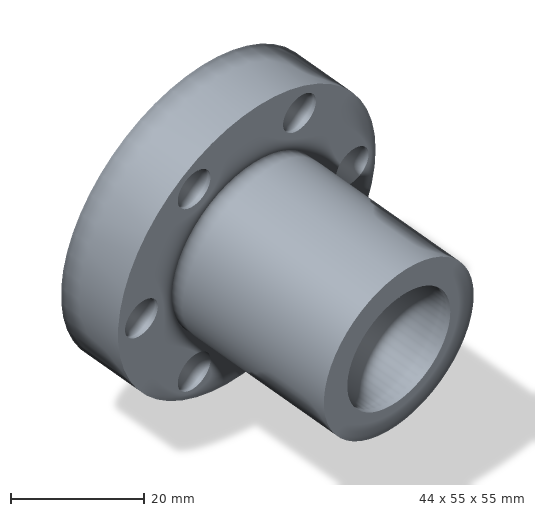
import cadquery as cq

total_length = 44.0
flange_diameter = 55.0
flange_thickness = 12.0
barrel_diameter = 32.0
bore_diameter = 22.0

hole_count = 6
hole_diameter = 7.0
hole_circle_diameter = 45.0


def cylinder_along_x(diameter, length):
    """Solid cylinder starting at X = 0 and running toward +X."""
    return cq.Workplane("YZ").circle(diameter / 2).extrude(length)


def mounting_holes():
    """Evenly spaced cutters for the flange, the first on the +Y axis."""
    return (
        cq.Workplane("YZ")
        .polarArray(hole_circle_diameter / 2, 0, 360, hole_count)
        .circle(hole_diameter / 2)
        .extrude(flange_thickness)
    )


flange = cylinder_along_x(flange_diameter, flange_thickness).cut(mounting_holes())
barrel = cylinder_along_x(barrel_diameter, total_length)
bore = cylinder_along_x(bore_diameter, total_length)

result = flange.union(barrel).cut(bore)